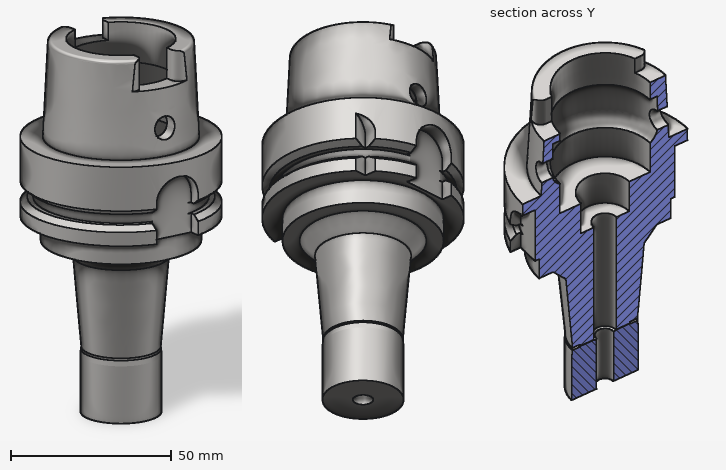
import cadquery as cq
import math

TOTAL_HEIGHT = 122.0
FLANGE_FACE_Z = 90.0
GROOVE_UPPER_Z = 73.9
GROOVE_LOWER_Z = 70.4
GROOVE_BEVEL = 1.7
FLANGE_BOTTOM_Z = 64.2
COLLAR_BOTTOM_Z = 56.2
NECK_TOP_Z = 51.0
NECK_BOTTOM_Z = 21.4
NUT_HEIGHT = 20.6

TAPER_TOP_RADIUS = 22.8
TAPER_BASE_RADIUS = 24.4
RIM_FILLET = 1.2
FLANGE_RADIUS = 31.5
GROOVE_BEVEL_RADIUS = 29.3
GROOVE_RADIUS = 27.5
COLLAR_RADIUS = 25.1
SHOULDER_RADIUS = 19.8
NECK_TOP_RADIUS = 15.0
NECK_BOTTOM_RADIUS = 12.5
SPIGOT_RADIUS = 9.5

MOUTH_RADIUS = 17.1
MOUTH_BOTTOM_Z = 109.0
UNDERCUT_RADIUS = 19.9
UNDERCUT_BOTTOM_Z = 96.4
UNDERCUT_RUNOUT_RADIUS = 6.1
BORE_FLOOR_Z = 79.3
COUNTERBORE_RADIUS = 9.2
COUNTERBORE_DEPTH = 12.2
COOLANT_RADIUS = 4.3

KEYWAY_HALF_WIDTH = 6.3
KEYWAY_FLARE_RADIUS = 2.8
KEYWAY_FLARE_X = 20.9
KEYWAY_DEPTHS = {-1: 5.9, 1: 10.0}
CROSS_HOLE_RADIUS = 3.8
CROSS_HOLE_Z = 99.1
GRIP_SLOT_HALF_WIDTH = 7.9
GRIP_SLOT_TOP_Z = 85.2
GRIP_SLOT_FLOOR_X = 26.6
NOTCH_OFFSET = 20.0
NOTCH_ARC_RADIUS = 7.3
NOTCH_TOP_Z = 85.2

NUT_RADIUS = 12.7
NUT_BEVEL_HEIGHT = 1.8
NUT_TOP_RADIUS = 12.6
NUT_HOLE_RADIUS = 3.2

CUT_CLEARANCE = 6.1
CUT_REACH = FLANGE_RADIUS + CUT_CLEARANCE


def revolve_outline(points):
    """Turn a list of (radius, height) points about the Z axis."""
    return cq.Workplane("XZ").polyline(points).close().revolve(360, (0, 0, 0), (0, 1, 0))


def holder_blank():
    """Outer shape: short taper, grooved flange, collar, tapered neck and spigot."""
    blank = revolve_outline([
        (0, TOTAL_HEIGHT),
        (TAPER_TOP_RADIUS, TOTAL_HEIGHT),
        (TAPER_BASE_RADIUS, FLANGE_FACE_Z),
        (FLANGE_RADIUS, FLANGE_FACE_Z),
        (FLANGE_RADIUS, GROOVE_UPPER_Z + GROOVE_BEVEL),
        (GROOVE_BEVEL_RADIUS, GROOVE_UPPER_Z),
        (GROOVE_RADIUS, GROOVE_UPPER_Z),
        (GROOVE_RADIUS, GROOVE_LOWER_Z),
        (GROOVE_BEVEL_RADIUS, GROOVE_LOWER_Z),
        (FLANGE_RADIUS, GROOVE_LOWER_Z - GROOVE_BEVEL),
        (FLANGE_RADIUS, FLANGE_BOTTOM_Z),
        (COLLAR_RADIUS, FLANGE_BOTTOM_Z),
        (COLLAR_RADIUS, COLLAR_BOTTOM_Z),
        (SHOULDER_RADIUS, COLLAR_BOTTOM_Z),
        (NECK_TOP_RADIUS, NECK_TOP_Z),
        (NECK_BOTTOM_RADIUS, NECK_BOTTOM_Z),
        (SPIGOT_RADIUS, NECK_BOTTOM_Z),
        (SPIGOT_RADIUS, NUT_HEIGHT),
        (0, NUT_HEIGHT),
    ])
    return blank.faces(">Z").edges().fillet(RIM_FILLET)


def holder_bore():
    """Stepped bore, undercut below its mouth, the undercut running out along an arc."""
    counterbore_floor_z = BORE_FLOOR_Z - COUNTERBORE_DEPTH
    arc_center_radius = UNDERCUT_RADIUS - UNDERCUT_RUNOUT_RADIUS
    arc_end_angle = math.acos((MOUTH_RADIUS - arc_center_radius) / UNDERCUT_RUNOUT_RADIUS)

    def runout_point(angle):
        return (
            arc_center_radius + UNDERCUT_RUNOUT_RADIUS * math.cos(angle),
            UNDERCUT_BOTTOM_Z - UNDERCUT_RUNOUT_RADIUS * math.sin(angle),
        )

    return (
        cq.Workplane("XZ")
        .moveTo(0, TOTAL_HEIGHT)
        .lineTo(MOUTH_RADIUS, TOTAL_HEIGHT)
        .lineTo(MOUTH_RADIUS, MOUTH_BOTTOM_Z)
        .lineTo(UNDERCUT_RADIUS, MOUTH_BOTTOM_Z)
        .lineTo(UNDERCUT_RADIUS, UNDERCUT_BOTTOM_Z)
        .threePointArc(runout_point(arc_end_angle / 2), runout_point(arc_end_angle))
        .lineTo(MOUTH_RADIUS, BORE_FLOOR_Z)
        .lineTo(COUNTERBORE_RADIUS, BORE_FLOOR_Z)
        .lineTo(COUNTERBORE_RADIUS, counterbore_floor_z)
        .lineTo(COOLANT_RADIUS, counterbore_floor_z)
        .lineTo(COOLANT_RADIUS, NUT_HEIGHT)
        .lineTo(0, NUT_HEIGHT)
        .close()
        .revolve(360, (0, 0, 0), (0, 1, 0))
    )


def keyway(side, depth):
    """Drive keyway across one side of the rim, flared with a radius at its outer end."""
    flare_start_x = KEYWAY_FLARE_X - KEYWAY_FLARE_RADIUS
    flare_end_y = KEYWAY_HALF_WIDTH + KEYWAY_FLARE_RADIUS
    arc_offset = KEYWAY_FLARE_RADIUS * math.sqrt(0.5)
    arc_mid = (side * (flare_start_x + arc_offset), flare_end_y - arc_offset)
    return (
        cq.Workplane("XY", origin=(0, 0, TOTAL_HEIGHT - depth))
        .moveTo(0, KEYWAY_HALF_WIDTH)
        .lineTo(side * flare_start_x, KEYWAY_HALF_WIDTH)
        .threePointArc(arc_mid, (side * KEYWAY_FLARE_X, flare_end_y))
        .lineTo(side * KEYWAY_FLARE_X, CUT_REACH)
        .lineTo(side * CUT_REACH, CUT_REACH)
        .lineTo(side * CUT_REACH, -CUT_REACH)
        .lineTo(side * KEYWAY_FLARE_X, -CUT_REACH)
        .lineTo(side * KEYWAY_FLARE_X, -flare_end_y)
        .threePointArc((arc_mid[0], -arc_mid[1]), (side * flare_start_x, -KEYWAY_HALF_WIDTH))
        .lineTo(0, -KEYWAY_HALF_WIDTH)
        .close()
        .extrude(depth)
    )


def cross_hole():
    """Hole along X through both walls of the taper."""
    return (
        cq.Workplane("YZ", origin=(-CUT_REACH, 0, CROSS_HOLE_Z))
        .circle(CROSS_HOLE_RADIUS)
        .extrude(2 * CUT_REACH)
    )


def round_topped_slot(center_y, half_width, top_z, start_x, end_x):
    """Slot cut along X, open below the flange and closed by a half-round top."""
    arc_z = top_z - half_width
    return (
        cq.Workplane("YZ", origin=(start_x, 0, 0))
        .moveTo(center_y - half_width, FLANGE_BOTTOM_Z)
        .lineTo(center_y - half_width, arc_z)
        .threePointArc((center_y, top_z), (center_y + half_width, arc_z))
        .lineTo(center_y + half_width, FLANGE_BOTTOM_Z)
        .close()
        .extrude(end_x - start_x)
    )


def grip_slot(side):
    """Flat-floored slot in the -X or +X side of the flange."""
    return round_topped_slot(
        0, GRIP_SLOT_HALF_WIDTH, GRIP_SLOT_TOP_Z, side * GRIP_SLOT_FLOOR_X, side * CUT_REACH
    )


def orientation_notch():
    """Square-cornered notch in the -X, +Y quarter of the flange, rounded at its top."""
    center_y = NOTCH_OFFSET + NOTCH_ARC_RADIUS
    return round_topped_slot(
        center_y, NOTCH_ARC_RADIUS, NOTCH_TOP_Z, -CUT_REACH, -NOTCH_OFFSET
    )


def make_holder():
    body = holder_blank().cut(holder_bore()).cut(cross_hole())
    for side, depth in KEYWAY_DEPTHS.items():
        body = body.cut(keyway(side, depth)).cut(grip_slot(side))
    return body.cut(orientation_notch())


def make_nut():
    return revolve_outline([
        (NUT_HOLE_RADIUS, 0),
        (NUT_RADIUS, 0),
        (NUT_RADIUS, NUT_HEIGHT - NUT_BEVEL_HEIGHT),
        (NUT_TOP_RADIUS, NUT_HEIGHT),
        (NUT_HOLE_RADIUS, NUT_HEIGHT),
    ])


holder = make_holder()
nut = make_nut()

result = cq.Compound.makeCompound([holder.val(), nut.val()])